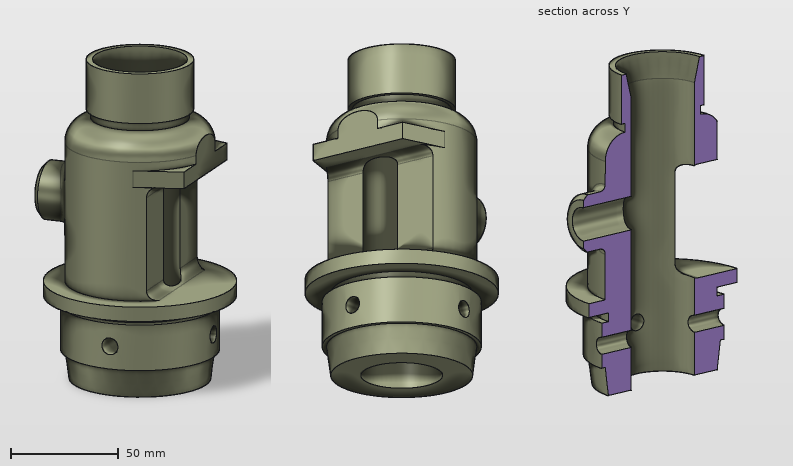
import cadquery as cq
import math

taper_top = 14.0
cross_hole_height = 25.0
spigot_top = 36.0
flange_bottom = 40.0
flange_top = 47.0
port_height = 86.0
lug_bottom = 102.0
lug_top = 110.0
dome_top = 126.0
collar_bottom = 130.0
total_height = 154.0

bottom_radius = 66.0 / 2
spigot_radius = 74.0 / 2
lower_groove_radius = 66.0 / 2
flange_radius = 90.0 / 2
body_radius = 69.9 / 2
neck_radius = 46.0 / 2
collar_radius = 50.0 / 2
dome_radius = body_radius - neck_radius
dome_bottom = dome_top - dome_radius

bore_radius = 38.0 / 2
mouth_radius = 44.0 / 2
mouth_depth = 12.0

port_reach = 48.0
port_radius = 28.0 / 2
port_bore_radius = 16.0 / 2
port_chamfer = 2.3
port_fillet = 3.0

flat_x = 33.0
window_x = 16.0
window_fillet = 5.0
lug_half_width = 26.5

cross_hole_radius = 8.0 / 2


def turned_body():
    """Solid of revolution from the tapered bottom up to the collar."""
    dome_mid_r = neck_radius + dome_radius * math.cos(math.pi / 4)
    dome_mid_z = dome_bottom + dome_radius * math.sin(math.pi / 4)
    return (
        cq.Workplane("XZ")
        .lineTo(bottom_radius, 0)
        .lineTo(body_radius, taper_top)
        .lineTo(spigot_radius, taper_top)
        .lineTo(spigot_radius, spigot_top)
        .lineTo(lower_groove_radius, spigot_top)
        .lineTo(lower_groove_radius, flange_bottom)
        .lineTo(flange_radius, flange_bottom)
        .lineTo(flange_radius, flange_top)
        .lineTo(body_radius, flange_top)
        .lineTo(body_radius, dome_bottom)
        .threePointArc((dome_mid_r, dome_mid_z), (neck_radius, dome_top))
        .lineTo(neck_radius, collar_bottom)
        .lineTo(collar_radius, collar_bottom)
        .lineTo(collar_radius, total_height)
        .lineTo(0, total_height)
        .close()
        .revolve(360, (0, 0, 0), (0, 1, 0))
    )


def add_port(body):
    """Add the chamfered port and round its joint with the body."""
    port = (
        cq.Workplane("YZ", origin=(-port_reach, 0, port_height))
        .circle(port_radius)
        .extrude(port_reach)
        .faces("<X")
        .chamfer(port_chamfer)
    )
    joint_zone = cq.selectors.BoxSelector(
        (-body_radius, -port_radius, port_height - port_radius),
        (-body_radius + port_radius, port_radius, port_height + port_radius),
    )
    return body.union(port).edges(joint_zone).fillet(port_fillet)


def lug():
    """Plate whose slanted sides run tangent to the round body."""
    corner_angle = math.atan2(lug_half_width, flat_x)
    corner_distance = math.hypot(lug_half_width, flat_x)
    tangent_angle = corner_angle + math.acos(body_radius / corner_distance)
    tangent_x = body_radius * math.cos(tangent_angle)
    tangent_y = body_radius * math.sin(tangent_angle)
    return (
        cq.Workplane("XY", origin=(0, 0, lug_bottom))
        .polyline([
            (0, 0),
            (tangent_x, -tangent_y),
            (flat_x, -lug_half_width),
            (flat_x, lug_half_width),
            (tangent_x, tangent_y),
        ])
        .close()
        .extrude(lug_top - lug_bottom)
    )


def side_cutter(x_start, bottom, top):
    """Block that removes everything beyond x_start between two heights."""
    return cq.Workplane("XY").box(
        flange_radius, 2 * flange_radius, top - bottom, centered=(False, True, False)
    ).translate((x_start, 0, bottom))


def bore():
    """Straight through bore that widens towards the collar mouth."""
    mouth_bottom = total_height - mouth_depth
    return (
        cq.Workplane("XZ")
        .lineTo(bore_radius, 0)
        .lineTo(bore_radius, mouth_bottom)
        .lineTo(mouth_radius, total_height)
        .lineTo(0, total_height)
        .close()
        .revolve(360, (0, 0, 0), (0, 1, 0))
    )


def cross_hole(plane):
    """Hole through both walls of the spigot, normal to the given plane."""
    return (
        cq.Workplane(plane, origin=(0, 0, cross_hole_height))
        .circle(cross_hole_radius)
        .extrude(spigot_radius, both=True)
    )


result = add_port(turned_body())

window = side_cutter(window_x, flange_top, lug_bottom).edges("<X and |Y").fillet(window_fillet)
result = result.cut(side_cutter(flat_x, flange_top, total_height))
result = result.union(lug()).cut(window)

port_bore = (
    cq.Workplane("YZ", origin=(-port_reach, 0, port_height))
    .circle(port_bore_radius)
    .extrude(port_reach)
)
result = result.cut(bore()).cut(port_bore)
for plane in ("XZ", "YZ"):
    result = result.cut(cross_hole(plane))